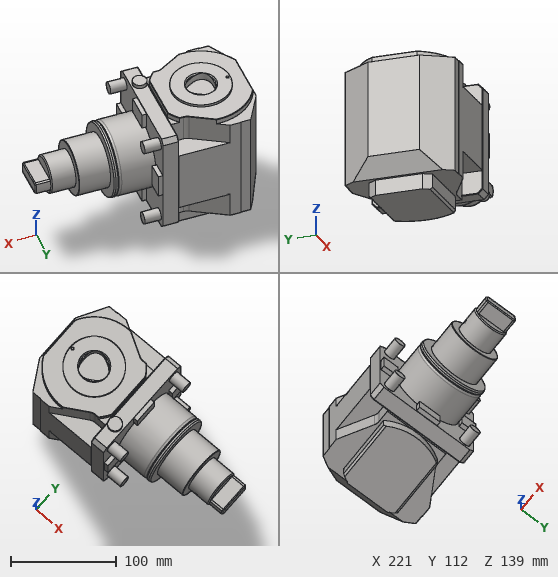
import cadquery as cq
import math


TAN_60 = math.tan(math.radians(60))
TAN_30 = math.tan(math.radians(30))

flange_size = 112.0
flange_thickness = 16.0
flange_corner = 4.6
flange_back_chamfer = 0.7
half_width = flange_size / 2

spindle_x = -60.0
housing_back = -106.0
housing_front = -flange_thickness
housing_top = 55.4
housing_bottom = -60.0
corner_start = -89.0
side_step_x = -79.2
side_relief = 0.5
bevel_height = 19.2
bevel_depth = bevel_height / TAN_60

pocket_floor = 33.0
pocket_wall = 35.0
pocket_start = -68.0
pocket_fillet = 10.0

cover_top = 60.9
cover_radius = 49.6
cover_back = -104.0
cover_front = -16.8
cover_chamfer = 0.5
nose_top = 63.5
nose_radius = 29.7
boss_bottom = -75.5
boss_back = -92.0
boss_half_width = 32.3
boss_corner = 5.0
boss_round_start = -25.4
boss_front = -15.8
boss_edge_chamfer = 2.2

socket_mouth_radius = 15.7
socket_mean_radius = 14.3
socket_lobe = 1.1
socket_depth = 8.4
socket_chamfer = 1.2
nose_hole_radius = 1.3
nose_hole_depth = 2.0
nose_hole_offset = 27.0

seat_radius = 37.5
seat_length = 42.5
seat_lead = 1.8
seat_relief = 0.6
taper_start = 34.9
taper_drop = 0.8
groove_start = 37.4
groove_width = 0.9
groove_depth = 1.3
body_radius = 27.5
body_end = 74.3
body_chamfer = 0.5
neck_radius = 19.0
neck_end = 99.4
neck_chamfer = 1.2
neck_hole_x = 83.8
neck_hole_radius = 1.3
neck_hole_depth = 2.0

tang_end = 115.0
tang_radius = 17.8
tang_thickness = 12.8
tang_flat_half = 14.8
tang_edge_drop = 1.1
tang_chamfer = 1.1

screw_offset = 45.0
screw_radius = 6.0
screw_length = 16.6
key_width = 24.6
key_height = 4.6
key_reach = 55.0
key_inner = 38.5
plug_x = -9.0
plug_y = -29.0
plug_radius = 7.1
plug_top = 60.0


def prism(sketch_points, bottom, top):
    """Upright prism on a closed XY outline."""
    outline = cq.Workplane("XY").workplane(offset=bottom).polyline(sketch_points).close()
    return outline.extrude(top - bottom)


def slab(x_min, x_max, half_y, bottom, top):
    """Box symmetric about the XZ plane."""
    size = (x_max - x_min, 2 * half_y, top - bottom)
    return cq.Workplane("XY").box(*size, centered=(False, True, False)).translate((x_min, 0, bottom))


def mirrored(half_points):
    """Closed outline from the +Y half of a shape symmetric about X."""
    return half_points + [(x, -y) for x, y in reversed(half_points)]


def upright_cylinder(x, y, radius, bottom, top):
    return cq.Workplane("XY").workplane(offset=bottom).center(x, y).circle(radius).extrude(top - bottom)


def make_housing():
    back_half = (half_width - side_relief) - (corner_start - housing_back) * TAN_60
    outline = mirrored([
        (housing_back, back_half),
        (corner_start, half_width - side_relief),
        (side_step_x, half_width - side_relief),
        (side_step_x, half_width),
        (housing_front, half_width),
    ])
    housing = prism(outline, housing_bottom, housing_top)
    bevel = (
        cq.Workplane("XZ")
        .moveTo(housing_back, housing_bottom)
        .lineTo(housing_back + bevel_depth, housing_bottom)
        .lineTo(housing_back, housing_bottom + bevel_height)
        .close()
        .extrude(half_width, both=True)
    )
    return housing.cut(bevel)


def make_cover():
    disc = upright_cylinder(spindle_x, 0, cover_radius, housing_top, cover_top)
    trim = slab(cover_back, cover_front, half_width, housing_top, cover_top)
    return disc.intersect(trim)


def make_pocket(side, bottom, top):
    """Pocket with a 30 degree wall blending into a straight one; side is +1 or -1 in Y."""
    bend_x = pocket_start + (half_width - pocket_wall) / TAN_30
    outline = [
        (pocket_start, side * half_width),
        (bend_x, side * pocket_wall),
        (housing_front, side * pocket_wall),
        (housing_front, side * half_width),
    ]
    pocket = prism(outline, bottom, top)
    bend = cq.selectors.NearestToPointSelector((bend_x, side * pocket_wall, (bottom + top) / 2))
    return pocket.edges("|Z").edges(bend).fillet(pocket_fillet)


def make_boss():
    outline = (
        cq.Workplane("XY")
        .workplane(offset=boss_bottom)
        .moveTo(boss_back, boss_half_width - boss_corner * TAN_60)
        .lineTo(boss_back + boss_corner, boss_half_width)
        .lineTo(boss_round_start, boss_half_width)
        .threePointArc((boss_front, 0), (boss_round_start, -boss_half_width))
        .lineTo(boss_back + boss_corner, -boss_half_width)
        .lineTo(boss_back, -boss_half_width + boss_corner * TAN_60)
        .close()
    )
    boss = outline.extrude(housing_bottom - boss_bottom)
    chamfered_bar = (
        slab(boss_back, boss_front, boss_half_width, boss_bottom, housing_bottom)
        .faces("<Z")
        .edges("|X")
        .chamfer(boss_edge_chamfer)
    )
    return boss.intersect(chamfered_bar)


def make_flange():
    plate = cq.Workplane("YZ").rect(flange_size, flange_size).extrude(-flange_thickness)
    plate = plate.edges("|X").chamfer(flange_corner)
    return plate.faces("<X").edges().chamfer(flange_back_chamfer)


def make_shank():
    groove_end = groove_start + groove_width
    profile = [
        (0, 0),
        (0, seat_radius),
        (taper_start, seat_radius),
        (groove_start, seat_radius - taper_drop),
        (groove_start, seat_radius - groove_depth),
        (groove_end, seat_radius - groove_depth),
        (groove_end, seat_radius),
        (seat_length - seat_lead, seat_radius),
        (seat_length, seat_radius - seat_relief),
        (seat_length, body_radius),
        (body_end - body_chamfer, body_radius),
        (body_end, body_radius - body_chamfer),
        (body_end, neck_radius),
        (neck_end - neck_chamfer, neck_radius),
        (neck_end, neck_radius - neck_chamfer),
        (neck_end, 0),
    ]
    shank = cq.Workplane("XY").polyline(profile).close().revolve(360, (0, 0, 0), (1, 0, 0))
    hole = (
        cq.Workplane("XZ", origin=(neck_hole_x, -neck_radius, 0))
        .circle(neck_hole_radius)
        .extrude(-neck_hole_depth)
    )
    return shank.cut(hole)


def make_tang():
    """Round bar cut to a flat tang with bevelled long edges and a chamfered end."""
    half_thickness = tang_thickness / 2
    edge_height = half_thickness - tang_edge_drop
    section = [
        (tang_flat_half, half_thickness),
        (tang_radius, edge_height),
        (tang_radius, -edge_height),
        (tang_flat_half, -half_thickness),
        (-tang_flat_half, -half_thickness),
        (-tang_radius, -edge_height),
        (-tang_radius, edge_height),
        (-tang_flat_half, half_thickness),
    ]
    length = tang_end - neck_end
    start = cq.Workplane("YZ").workplane(offset=neck_end)
    round_bar = start.circle(tang_radius).extrude(length)
    bevelled_bar = start.polyline(section).close().extrude(length)
    tang = round_bar.intersect(bevelled_bar)
    return tang.faces(">X").chamfer(tang_chamfer)


def make_screws():
    corners = cq.Workplane("YZ").rect(2 * screw_offset, 2 * screw_offset, forConstruction=True)
    return corners.vertices().circle(screw_radius).extrude(screw_length)


def make_key(angle):
    """Locating key on the flange face, turned about the shank axis."""
    key = slab(0, key_height, key_width / 2, key_inner, key_reach)
    return key.rotate((0, 0, 0), (1, 0, 0), angle)


def socket_point(t):
    """Three-lobed curve about the spindle axis, one lobe pointing to +X; t runs from 0 to 1."""
    angle = 2 * math.pi * t
    radius = socket_mean_radius + socket_lobe * math.cos(3 * angle)
    return (radius * math.cos(angle), radius * math.sin(angle))


def make_socket():
    well = (
        cq.Workplane("XY", origin=(spindle_x, 0, nose_top - socket_depth))
        .parametricCurve(socket_point)
        .extrude(socket_depth)
    )
    mouth = cq.Workplane(cq.Solid.makeCone(
        socket_mouth_radius - socket_chamfer,
        socket_mouth_radius,
        socket_chamfer,
        pnt=cq.Vector(spindle_x, 0, nose_top - socket_chamfer),
    ))
    return well.union(mouth)


part = make_housing().union(make_cover())
for side in (1, -1):
    part = part.cut(make_pocket(side, pocket_floor, cover_top))
    part = part.cut(make_pocket(side, housing_bottom, -pocket_floor))
part = part.faces(">Z").edges().chamfer(cover_chamfer)

part = part.union(upright_cylinder(spindle_x, 0, nose_radius, cover_top, nose_top))
part = part.union(make_boss())
part = part.union(make_flange())
part = part.union(make_shank())
part = part.union(make_tang())
part = part.union(make_screws())
for angle in (0, 90, 180, 270):
    part = part.union(make_key(angle))
part = part.union(upright_cylinder(plug_x, plug_y, plug_radius, half_width, plug_top))

part = part.cut(make_socket())
nose_hole_x = spindle_x - nose_hole_offset
part = part.cut(upright_cylinder(nose_hole_x, 0, nose_hole_radius, nose_top - nose_hole_depth, nose_top))

result = part